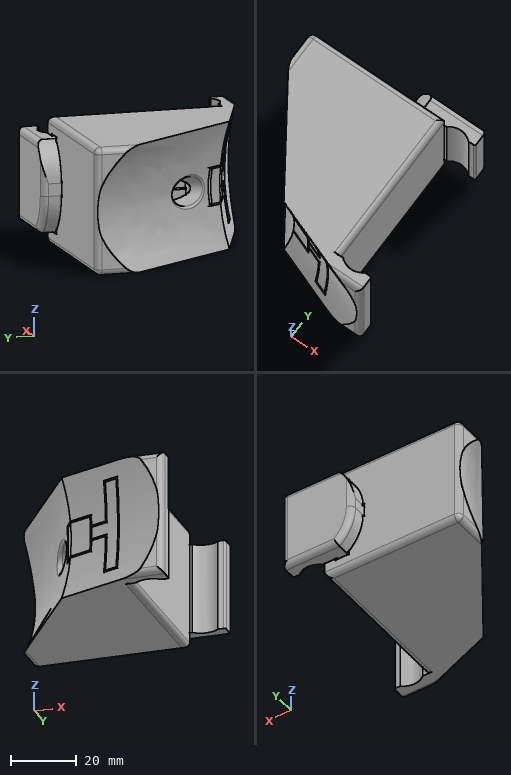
import cadquery as cq
import math

length_x = 62.0
depth_y = 67.3
height = 40.0
mid_z = height / 2
edge_round = 2.0

block_x = 50.0
block_y = 61.1
arm_thickness = 6.2
tip_round = 0.7
ridge_x, ridge_y = 25.9, 10.4

long_face_angle = 123.8
long_face_hollow = 3.15
long_face_flare = 0.061
short_face_angle = -20.8
short_face_hollow = 3.1
short_face_flare = -0.01
face_reach = 77.4
face_overrun = 13.45
cutter_thickness = 40.4

rail_radius = 6.05
rail_bite = 1.6
arm_rail_x = 55.45

gap = 0.55
bar_x0, bar_x1, bar_half = 41.45, 45.4, 14.6
stem_half = 1.95
plug_x0, plug_x1, plug_half = 26.05, 35.2, 5.5
stem_x0 = plug_x1 + gap
slot_x0 = plug_x1
plug_back_y = 21.55
joint_groove_depth = 1.1
jaw_x0, jaw_x1 = 35.75, 61.5
jaw_shoulder_x = 41.6
jaw_rail_x = 54.9

hole_diameter = 9.0
hole_angle = 74.0
hole_x, hole_y = 21.35, 24.85
hole_end = 28.95
hole_lead_in = 13.45
hole_rim_round = 0.9
channel_back_y = 55.2


def box(x0, x1, y0, y1, half_z):
    """Box centred on the middle height."""
    return cq.Workplane("XY").box(x1 - x0, y1 - y0, 2 * half_z, centered=False).translate(
        (x0, y0, mid_z - half_z)
    )


def grip_cutter(angle, side, hollow, flare):
    """Space outside one grip face: ruled between two arcs, starting beyond the ridge."""
    direction = cq.Vector(math.cos(math.radians(angle)), math.sin(math.radians(angle)), 0)
    inward = cq.Vector(-direction.y * side, direction.x * side, 0)
    ridge = cq.Vector(ridge_x, ridge_y, 0)
    up = cq.Vector(0, 0, height)
    wires = []
    for distance in (-face_overrun, face_reach):
        low = ridge + direction * distance
        high = low + up
        middle = low + up * 0.5 + inward * (hollow + flare * distance)
        outer_low = low - inward * cutter_thickness
        outer_high = high - inward * cutter_thickness
        arc = cq.Edge.makeThreePointArc(low, middle, high)
        sides = [
            cq.Edge.makeLine(high, outer_high),
            cq.Edge.makeLine(outer_high, outer_low),
            cq.Edge.makeLine(outer_low, low),
        ]
        wires.append(cq.Wire.assembleEdges([arc, *sides]))
    return cq.Workplane(obj=cq.Solid.makeLoft(wires, True))


def rail(x, y):
    return cq.Workplane("XY").center(x, y).circle(rail_radius).extrude(height)


def make_block():
    block = box(0, block_x, edge_round, block_y, mid_z)
    rounded = block.edges("(|X and >Y) or (|Y and <X) or (|Y and >X) or (|Z and <X and >Y)")
    return rounded.fillet(edge_round)


def make_arm():
    plan = box(ridge_x, length_x, 0, arm_thickness, mid_z)
    plan = plan.edges("|Z and >X and <Y").fillet(edge_round)
    plan = plan.edges("|Z and >X and >Y").fillet(tip_round)
    profile = box(ridge_x, length_x, 0, arm_thickness, mid_z)
    profile = profile.edges("|X and <Y").fillet(edge_round)
    return plan.intersect(profile).cut(rail(arm_rail_x, arm_thickness - rail_bite + rail_radius))


def make_access_hole():
    direction = cq.Vector(math.cos(math.radians(hole_angle)), math.sin(math.radians(hole_angle)), 0)
    start = cq.Vector(hole_x, hole_y, mid_z) - direction * hole_lead_in
    hole = cq.Solid.makeCylinder(hole_diameter / 2, hole_lead_in + hole_end, start, direction)
    return cq.Workplane(obj=hole)


def make_jaw_slot():
    """Clearance for the bar, the stem and the plug of the sliding jaw."""
    bar = box(bar_x0 - gap, bar_x1 + gap, 0, block_y, bar_half + gap)
    stem = box(slot_x0, bar_x1, 0, block_y, stem_half + gap)
    channel = box(plug_x0 - gap, plug_x1 + gap, 0, channel_back_y, plug_half + gap)
    return bar.union(stem).union(channel)


def round_hole_rim(body):
    """Round the mouth of the access hole."""
    reach = hole_diameter
    mouth = cq.selectors.BoxSelector(
        (hole_x - reach, hole_y - reach, mid_z - reach),
        (hole_x + reach, hole_y + reach, mid_z + reach),
        boundingbox=True,
    )
    return body.edges(mouth).fillet(hole_rim_round)


def make_housing(shell):
    drilled = round_hole_rim(shell.cut(make_access_hole()))
    return drilled.cut(make_jaw_slot())


def extrude_head(bowed_top):
    """Plain clamping head; the upper part of its -X end is bowed or straight."""
    bow_x = jaw_shoulder_x - jaw_x0
    bow_z = bar_half - stem_half
    radius = (bow_x**2 + bow_z**2) / (2 * bow_x)
    half_angle = math.asin(bow_z / radius) / 2
    bend_x = jaw_x0 + radius * (1 - math.cos(half_angle))
    bend_z = stem_half + radius * math.sin(half_angle)
    outline = (
        cq.Workplane("XZ", origin=(0, depth_y, mid_z))
        .moveTo(jaw_x1, -bar_half)
        .lineTo(jaw_shoulder_x, -bar_half)
        .threePointArc((bend_x, -bend_z), (jaw_x0, -stem_half))
    )
    if bowed_top:
        outline = outline.lineTo(jaw_x0, stem_half)
        outline = outline.threePointArc((bend_x, bend_z), (jaw_shoulder_x, bar_half))
    else:
        outline = outline.lineTo(jaw_x0, bar_half)
    return outline.lineTo(jaw_x1, bar_half).close().extrude(depth_y - block_y)


def make_jaw_head():
    """Clamping head behind the block; only the lower bow keeps its rounded outer edge."""
    head = extrude_head(bowed_top=False)
    head = head.faces(">Y").edges().fillet(edge_round)
    head = head.edges("|Z and >X and <Y").fillet(tip_round)
    head = head.intersect(extrude_head(bowed_top=True))
    return head.cut(rail(jaw_rail_x, block_y + rail_bite - rail_radius))


def make_jaw(shell):
    bar = box(bar_x0, bar_x1, 0, block_y, bar_half)
    stem = box(stem_x0, bar_x1, 0, block_y, stem_half)
    plug = box(plug_x0, plug_x1, 0, plug_back_y, plug_half)
    joint = box(plug_x1, stem_x0, 0, plug_back_y, stem_half)
    joint = joint.intersect(shell.translate((0, joint_groove_depth, 0)))
    inside = bar.union(stem).union(plug).union(joint).intersect(shell)
    return inside.union(make_jaw_head())


shell = (
    make_block()
    .union(make_arm())
    .cut(grip_cutter(long_face_angle, -1, long_face_hollow, long_face_flare))
    .cut(grip_cutter(short_face_angle, 1, short_face_hollow, short_face_flare))
)
housing = make_housing(shell)
jaw = make_jaw(shell)
result = cq.Compound.makeCompound([*housing.solids().vals(), *jaw.solids().vals()])